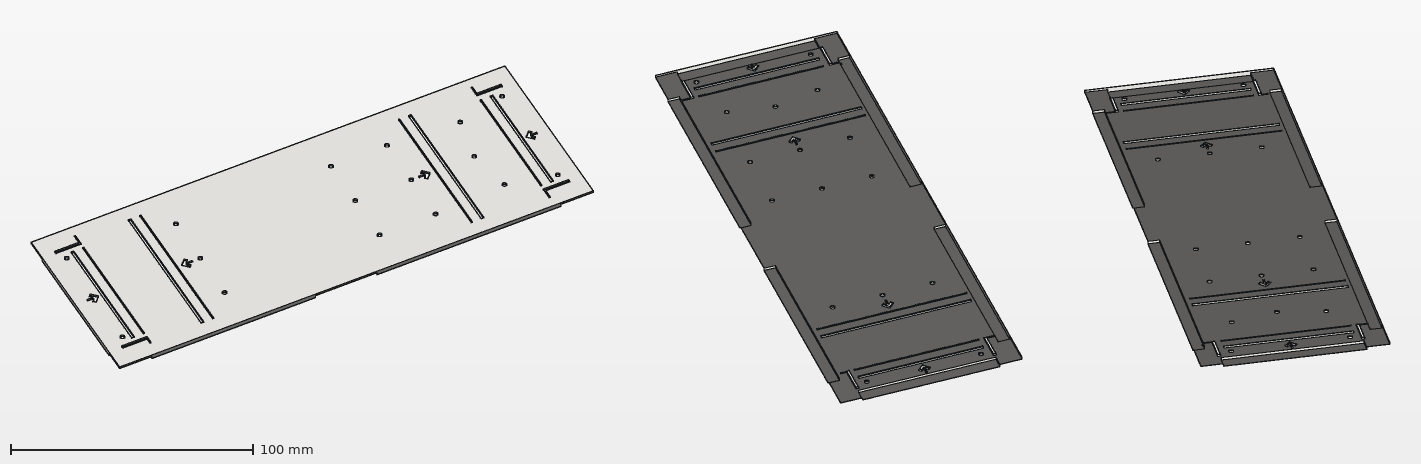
import cadquery as cq

PLATE_WIDTH = 80.0
PLATE_LENGTH = 220.0
TOTAL_HEIGHT = 2.2
PLATE_THICKNESS = 1.0
FOOT_HEIGHT = TOTAL_HEIGHT - PLATE_THICKNESS

RAIL_WIDTH = 5.0
END_RAIL_LENGTH = 60.5
END_GAP = 15.0
BACK_SIDE_RAIL_LENGTH = 85.4
FRONT_SIDE_RAIL_LENGTH = 76.0

SLOT_WIDTH = 1.3
SLIT_WIDTH = 0.6
SLIT_SPACING = 5.0
INNER_SLOT_LENGTH = 66.0
END_SLOT_LENGTH = 55.0
BACK_INNER_SLOT_Y = 62.2
FRONT_INNER_SLOT_Y = -67.9
END_SLOT_Y = 97.3
SIDE_SLOT_OUTER_Y = 103.8
END_SLIT_Y = END_SLOT_Y - SLIT_SPACING
SIDE_SLOT_INNER_Y = END_SLIT_Y - SLIT_WIDTH / 2

SIDE_SLOTS = [
    (1, -30.8, -35.5),
    (1, 30.3, 35.0),
    (-1, -30.3, -35.0),
    (-1, 30.3, 33.5),
]

HOLE_DIAMETER = 2.0
CORNER_HOLE_X = 25.2
CORNER_HOLE_Y = 101.1
BACK_PAIR_X = 20.0
BACK_PAIR_Y = 79.0
BACK_CENTRE_HOLE_Y = 75.2
HOLE_ROW_X = 22.0
HOLE_ROWS_Y = [46.0, 20.0, -52.0]

ARROW_LENGTH = 5.2
ARROW_REACH = 2.6
ARROW_ARM_STEP = 1.0
ARROW_SHAFT_WIDTH = 0.7
ARROWS = [(99.2, -1), (54.8, 1), (-60.8, -1), (-99.2, 1)]


def rail(x, y, width, length):
    """Foot below the plate, centred on (x, y)."""
    return cq.Workplane("XY").center(x, y).rect(width, length).extrude(FOOT_HEIGHT)


def window(x_start, x_end, y_start, y_end):
    """Rectangular cutter through the whole height."""
    return (
        cq.Workplane("XY")
        .center((x_start + x_end) / 2, (y_start + y_end) / 2)
        .rect(abs(x_end - x_start), abs(y_end - y_start))
        .extrude(TOTAL_HEIGHT)
    )


def cross_slot(y, length, width):
    """Cutter along X, centred on the plate."""
    return window(-length / 2, length / 2, y - width / 2, y + width / 2)


def side_slot(end, slot_x, slit_end_x):
    """L-shaped cutter: a slot along Y with a slit turning outwards at its inner end."""
    slot = window(
        slot_x - SLOT_WIDTH / 2, slot_x + SLOT_WIDTH / 2, end * SIDE_SLOT_INNER_Y, end * SIDE_SLOT_OUTER_Y
    )
    slit_y = end * END_SLIT_Y
    slit = window(slot_x, slit_end_x, slit_y - SLIT_WIDTH / 2, slit_y + SLIT_WIDTH / 2)
    return slot.union(slit)


def arrow(tip_y, direction):
    """Cutter for an arrow on the plate's centre line, pointing along +Y or -Y."""
    half_shaft = ARROW_SHAFT_WIDTH / 2
    inner_reach = ARROW_REACH - ARROW_ARM_STEP
    arm_drop = ARROW_REACH + ARROW_ARM_STEP
    shaft_top = arm_drop - (inner_reach - half_shaft)
    right_side = [
        (ARROW_REACH, ARROW_REACH),
        (inner_reach, arm_drop),
        (half_shaft, shaft_top),
        (half_shaft, ARROW_LENGTH),
    ]
    left_side = [(-x, drop) for x, drop in reversed(right_side)]
    outline = [(x, tip_y - direction * drop) for x, drop in [(0, 0)] + right_side + left_side]
    return cq.Workplane("XY").polyline(outline).close().extrude(TOTAL_HEIGHT)


def hole_centres():
    """Centres of all round holes."""
    centres = [(side * CORNER_HOLE_X, end * CORNER_HOLE_Y) for side in (-1, 1) for end in (-1, 1)]
    centres += [(side * BACK_PAIR_X, BACK_PAIR_Y) for side in (-1, 1)]
    centres.append((0, BACK_CENTRE_HOLE_Y))
    centres += [(column * HOLE_ROW_X, y) for column in (-1, 0, 1) for y in HOLE_ROWS_Y]
    return centres


result = (
    cq.Workplane("XY", origin=(0, 0, FOOT_HEIGHT))
    .rect(PLATE_WIDTH, PLATE_LENGTH)
    .extrude(PLATE_THICKNESS)
)

end_rail_y = (PLATE_LENGTH - RAIL_WIDTH) / 2
side_rail_x = (PLATE_WIDTH - RAIL_WIDTH) / 2
side_rail_outer_y = PLATE_LENGTH / 2 - END_GAP
back_rail_y = side_rail_outer_y - BACK_SIDE_RAIL_LENGTH / 2
front_rail_y = FRONT_SIDE_RAIL_LENGTH / 2 - side_rail_outer_y
for end in (-1, 1):
    result = result.union(rail(0, end * end_rail_y, END_RAIL_LENGTH, RAIL_WIDTH))
for side in (-1, 1):
    result = result.union(rail(side * side_rail_x, back_rail_y, RAIL_WIDTH, BACK_SIDE_RAIL_LENGTH))
    result = result.union(rail(side * side_rail_x, front_rail_y, RAIL_WIDTH, FRONT_SIDE_RAIL_LENGTH))

for slot_y, slit_y, length in (
    (END_SLOT_Y, END_SLIT_Y, END_SLOT_LENGTH),
    (BACK_INNER_SLOT_Y, BACK_INNER_SLOT_Y - SLIT_SPACING, INNER_SLOT_LENGTH),
    (FRONT_INNER_SLOT_Y, FRONT_INNER_SLOT_Y + SLIT_SPACING, INNER_SLOT_LENGTH),
    (-END_SLOT_Y, -END_SLIT_Y, END_SLOT_LENGTH),
):
    result = result.cut(cross_slot(slot_y, length, SLOT_WIDTH))
    result = result.cut(cross_slot(slit_y, length, SLIT_WIDTH))

for end, slot_x, slit_end_x in SIDE_SLOTS:
    result = result.cut(side_slot(end, slot_x, slit_end_x))

for tip_y, direction in ARROWS:
    result = result.cut(arrow(tip_y, direction))

holes = cq.Workplane("XY").pushPoints(hole_centres()).circle(HOLE_DIAMETER / 2).extrude(TOTAL_HEIGHT)
result = result.cut(holes)